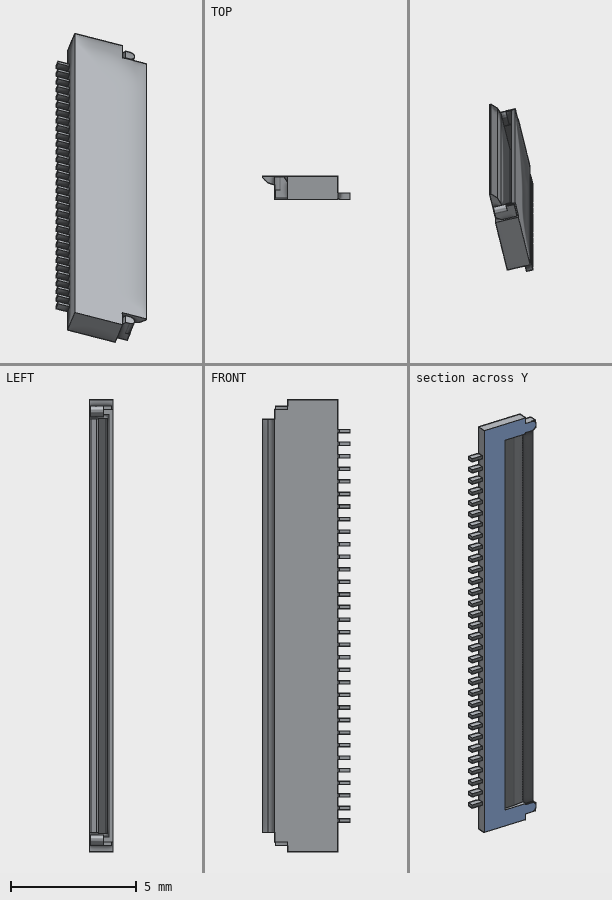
import cadquery as cq

length = 18.0
depth = 0.94
body_front = 0.49
shoulder = 1.0
body_back = 3.0
pin_end = 3.5

base_inset = 0.4
arm_inset = 0.25
arm_base_gap = 0.05
arm_recess = 0.04
arm_top = 0.38
nose_radius = 0.22
nose_top = 0.9
nose_relief_x = 0.15
nose_relief_y = 0.22

flap_inset = 0.77
flap_tip = 0.05
flap_break_x = 0.22
flap_break_y = 0.67
flap_root_y = 0.58

entry_inset = 0.6
entry_floor = 0.16
pocket_inset = 0.74
pocket_floor = 0.22
ramp_end_x = 1.5
ramp_end_y = 0.29
pocket_back = 2.0

pin_count = 32
pin_span = 15.5
pin_pitch = pin_span / (pin_count - 1)
pin_width = 0.15
pin_height = 0.27
pin_embed = 0.18
heel_x = 0.07
heel_y = 0.04


def block(x0, x1, y0, y1, z_inset):
    """Box between two X and two Y places, centred on Z and set in from both ends."""
    return (
        cq.Workplane("XY")
        .box(x1 - x0, y1 - y0, length - 2 * z_inset, centered=(False, False, True))
        .translate((x0, y0, 0))
    )


def make_housing():
    """Main body with the thin base wall and the end arms in front of it."""
    shoulders = block(shoulder, body_back, 0, depth, 0)
    base = block(body_front, shoulder, 0, arm_top, base_inset)
    arms = block(body_front + arm_recess, shoulder, arm_base_gap, arm_top, arm_inset)
    return shoulders.union(base).union(arms)


def make_nose(side):
    """Round-ended hinge nose in front of one shoulder; side is +1 or -1 along Z."""
    nose_z = length / 2 - arm_inset - nose_radius
    round_x = body_front + nose_radius
    nose = (
        cq.Workplane("XZ", origin=(0, arm_top, side * nose_z))
        .moveTo(shoulder, nose_radius)
        .lineTo(round_x, nose_radius)
        .threePointArc((body_front, 0), (round_x, -nose_radius))
        .lineTo(shoulder, -nose_radius)
        .close()
        .extrude(arm_top - nose_top)
    )
    relief = (
        cq.Workplane("XY", origin=(0, 0, side * nose_z))
        .moveTo(shoulder, nose_top)
        .lineTo(shoulder - nose_relief_x, nose_top)
        .lineTo(shoulder, nose_top - nose_relief_y)
        .close()
        .extrude(nose_radius, both=True)
    )
    return nose.cut(relief)


def make_flap():
    """Long flap, square on top and sloped underneath towards its tip."""
    half_length = length / 2 - flap_inset
    return (
        cq.Workplane("XY")
        .polyline([
            (0, depth),
            (0, depth - flap_tip),
            (flap_break_x, flap_break_y),
            (body_front, flap_root_y),
            (shoulder, flap_root_y),
            (shoulder, depth),
        ])
        .close()
        .extrude(half_length, both=True)
    )


def make_cable_opening():
    """Space under the flap: a shallow entry and the deeper pocket behind it."""
    entry = block(body_front, shoulder, entry_floor, arm_top, entry_inset)
    pocket = (
        cq.Workplane("XY")
        .polyline([
            (shoulder, pocket_floor),
            (ramp_end_x, ramp_end_y),
            (pocket_back, ramp_end_y),
            (pocket_back, flap_root_y),
            (shoulder, flap_root_y),
        ])
        .close()
        .extrude(length / 2 - pocket_inset, both=True)
    )
    return entry.union(pocket)


def make_pin(z):
    """Flat contact tail with a sloped heel where it leaves the housing."""
    return (
        cq.Workplane("XY", origin=(0, 0, z))
        .polyline([
            (body_back - pin_embed, heel_y),
            (body_back, heel_y),
            (body_back + heel_x, 0),
            (pin_end, 0),
            (pin_end, pin_height),
            (body_back - pin_embed, pin_height),
        ])
        .close()
        .extrude(pin_width / 2, both=True)
    )


result = make_housing().cut(make_cable_opening()).union(make_flap())
for side in (1, -1):
    result = result.union(make_nose(side))
for index in range(pin_count):
    pin_z = (index - (pin_count - 1) / 2) * pin_pitch
    result = result.union(make_pin(pin_z))